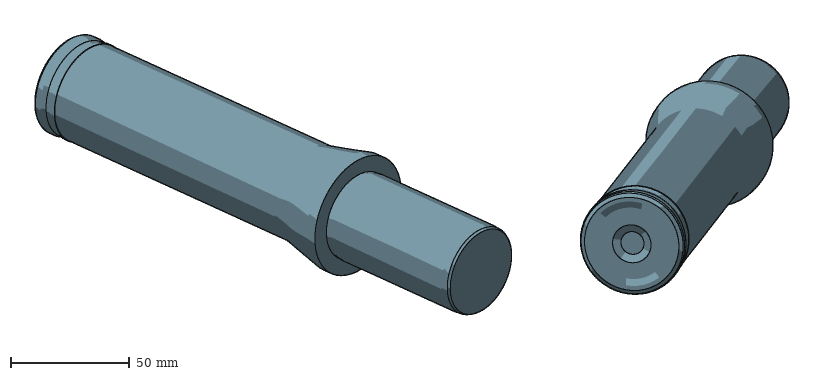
import cadquery as cq

total_length = 237.0
tip_face_x = -total_length / 2
shank_end_x = total_length / 2

tip_length = 7.0
tip_radius = 22.5
tip_land_end = 4.7
tip_corner_depth = 1.7
tip_corner_radius = 22.0
rim_outer_radius = 20.5
rim_inner_radius = 18.5
ring_groove_outer_radius = 15.6
ring_groove_inner_radius = 14.5
ring_groove_depth = 0.7
plateau_outer_radius = 11.4
plateau_inner_radius = 8.3
plateau_depth = 0.2
dimple_shelf_outer_radius = 5.0
dimple_shelf_inner_radius = 3.8
dimple_shelf_depth = 1.7
dimple_floor_radius = 1.5
dimple_floor_depth = 2.0

body_radius = 44.0 / 2
neck_radius = 21.8
neck_end = 8.8
neck_ramp_end = 11.0
band_radius = 22.3
band_end = 12.3

flange_radius = 54.0 / 2
cone_start = 139.4
flange_rim_start = 161.6
flange_end = 166.4

shank_radius = 40.0 / 2
shank_relief_radius = 39.5 / 2
undercut_end = 167.8
undercut_ramp_end = 168.7
shank_land_end = 232.7
end_ramp_end = 234.2
end_chamfer_start = 235.8
end_face_radius = 19.2


def revolve_profile(points):
    """Revolve (axial distance from the tip face, radius) points about X."""
    placed = [(tip_face_x + distance, radius) for distance, radius in points]
    return cq.Workplane("XY").polyline(placed).close().revolve(360, (0, 0, 0), (1, 0, 0))


def make_cutting_tip():
    """Disc with a ringed front face, a central dimple and a tapered back."""
    return revolve_profile([
        (tip_length, 0),
        (dimple_floor_depth, 0),
        (dimple_floor_depth, dimple_floor_radius),
        (dimple_shelf_depth, dimple_shelf_inner_radius),
        (dimple_shelf_depth, dimple_shelf_outer_radius),
        (plateau_depth, plateau_inner_radius),
        (plateau_depth, plateau_outer_radius),
        (ring_groove_depth, ring_groove_inner_radius),
        (ring_groove_depth, ring_groove_outer_radius),
        (0, rim_inner_radius),
        (0, rim_outer_radius),
        (tip_corner_depth / 2, tip_corner_radius),
        (tip_corner_depth, tip_radius),
        (tip_land_end, tip_radius),
        (tip_length, neck_radius),
    ])


def make_holder():
    """Stepped body, conical flange and shank behind the cutting tip."""
    shank_end = shank_end_x - tip_face_x
    return revolve_profile([
        (tip_length, 0),
        (tip_length, neck_radius),
        (neck_end, neck_radius),
        (neck_ramp_end, band_radius),
        (band_end, band_radius),
        (band_end, body_radius),
        (cone_start, body_radius),
        (flange_rim_start, flange_radius),
        (flange_end, flange_radius),
        (flange_end, shank_relief_radius),
        (undercut_end, shank_relief_radius),
        (undercut_ramp_end, shank_radius),
        (shank_land_end, shank_radius),
        (end_ramp_end, shank_relief_radius),
        (end_chamfer_start, shank_relief_radius),
        (shank_end, end_face_radius),
        (shank_end, 0),
    ])


cutting_tip = make_cutting_tip()
holder = make_holder()

result = cq.Compound.makeCompound([cutting_tip.val(), holder.val()])